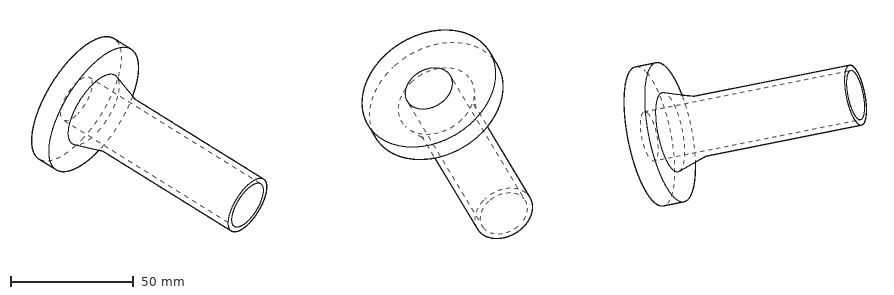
import cadquery as cq

total_length = 90.0
flange_diameter = 58.0
flange_thickness = 9.1
neck_base_diameter = 32.9
neck_length = 12.9
tube_diameter = 25.0
bore_diameter = 20.4

neck_end = flange_thickness + neck_length

half_section = [
    (0, bore_diameter / 2),
    (0, flange_diameter / 2),
    (flange_thickness, flange_diameter / 2),
    (flange_thickness, neck_base_diameter / 2),
    (neck_end, tube_diameter / 2),
    (total_length, tube_diameter / 2),
    (total_length, bore_diameter / 2),
]

result = (
    cq.Workplane("XY")
    .polyline(half_section)
    .close()
    .revolve(360, (0, 0, 0), (1, 0, 0))
)